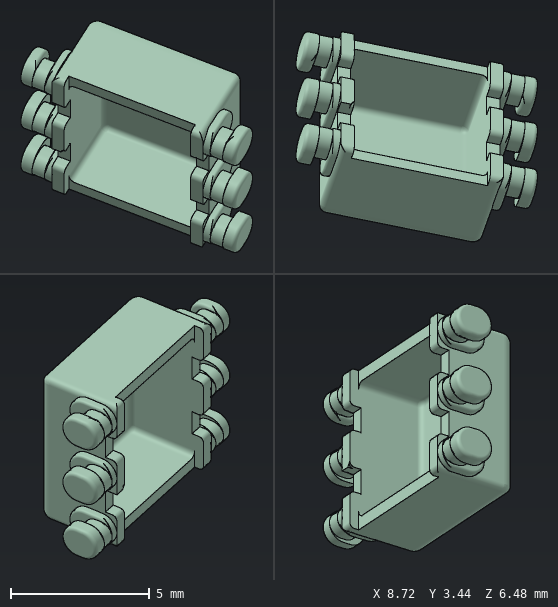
import cadquery as cq


body_width = 6.1
body_depth = 3.44
body_height = 6.48
wall = 0.5
back_thickness = 0.25
cavity_radius = 0.21
back_edge_radius = 0.5
corner_radius = 0.25
end_wall_setback = 0.39

post_pitch = 2.5
post_rows = (-post_pitch, 0, post_pitch)
tab_length = 1.5
notch_depth = 0.5
tab_radius = 0.2
square_corner_inset = 0.13

flange_thickness = 0.3
neck_length = 0.5
head_end = 4.36
post_height = 1.27
flange_depth = 1.9
head_depth = 1.54
neck_height = 1.0
neck_depth = 1.19
flange_fillet = 0.11
head_fillet = 0.145
flange_runout = (0.0, 0.45)
head_runout = (0.3, 0.58)

side = body_width / 2
cavity_half_width = side - wall
notch_length = post_pitch - tab_length
neck_start = side + flange_thickness
head_start = neck_start + neck_length
head_thickness = head_end - head_start
flush_margin = 0.1


def box(x_range, y_range, z_range):
    """Axis-aligned block spanning the three given ranges."""
    ranges = (x_range, y_range, z_range)
    sizes = [high - low for low, high in ranges]
    corner = tuple(low for low, high in ranges)
    return cq.Workplane("XY").box(*sizes, centered=False).translate(corner)


def make_shell():
    """Solid box, rounded at the back and along its Y edges."""
    half_height = body_height / 2
    shell = box((-side, side), (0, body_depth), (-half_height, half_height))
    shell = shell.faces(">Y").edges().fillet(back_edge_radius)
    return shell.edges("(|Y) and (<X or >X)").fillet(corner_radius)


def cut_end_walls(shell):
    """Set the top and bottom walls back between the two side walls."""
    return shell.cut(
        box(
            (-cavity_half_width, cavity_half_width),
            (0, end_wall_setback),
            (-body_height / 2, body_height / 2),
        )
    )


def cut_cavity(shell):
    """Open the front with a pocket that has rounded inner edges."""
    half_height = body_height / 2 - wall
    cavity = box(
        (-cavity_half_width, cavity_half_width),
        (end_wall_setback, body_depth - back_thickness),
        (-half_height, half_height),
    )
    cavity = cavity.edges("|Y").fillet(corner_radius)
    cavity = cavity.faces(">Y").edges().fillet(cavity_radius)
    return shell.cut(cavity)


def shape_tabs(shell):
    """Notch both side walls along the front, leaving rounded tabs."""
    half_height = body_height / 2
    envelope = box((-side, side), (0, body_depth), (-half_height, half_height))
    for notch_z in (-post_pitch / 2, post_pitch / 2):
        notch = box(
            (-side, side),
            (0, notch_depth),
            (notch_z - notch_length / 2, notch_z + notch_length / 2),
        )
        envelope = envelope.cut(notch)
    return shell.intersect(envelope.edges("|X and <Y").fillet(tab_radius))


def square_middle_tab(shell):
    """Make the lower corner of the middle -X tab square, save at its inner end."""
    tab_bottom = -tab_length / 2
    tab_inner_x = -cavity_half_width
    corner = (
        cq.Workplane("XZ")
        .moveTo(-side, tab_bottom)
        .lineTo(tab_inner_x - square_corner_inset, tab_bottom)
        .lineTo(tab_inner_x, tab_bottom + tab_radius)
        .lineTo(-side, tab_bottom + tab_radius)
        .close()
        .extrude(-tab_radius)
    )
    return shell.union(corner)


def oblong(start_x, length, depth, height):
    """Upright-ended oblong prism along +X, touching the plane Y = 0."""
    return (
        cq.Workplane("YZ", origin=(start_x, depth / 2, 0))
        .slot2D(depth, height)
        .extrude(length)
    )


def fade_fillet(sharp, filleted, full_x, edge_x, runout):
    """Restore the sharp edge near the front, along a slanted plane."""
    start_y, full_y = runout
    outline = [
        (full_x, -flush_margin),
        (full_x, full_y),
        (edge_x, start_y),
        (edge_x, -flush_margin),
    ]
    front_wedge = (
        cq.Workplane("XY", origin=(0, 0, -post_height))
        .polyline(outline)
        .close()
        .extrude(2 * post_height)
    )
    return filleted.union(sharp.intersect(front_wedge))


def make_flange():
    """Flange on the +X wall whose outer fillet fades out at the front."""
    sharp = oblong(side, flange_thickness, flange_depth, post_height)
    filleted = sharp.faces(">X").edges().fillet(flange_fillet)
    return fade_fillet(sharp, filleted, neck_start - flange_fillet, neck_start, flange_runout)


def make_head(inner_fillet):
    """Head on the +X side, optionally rounded on its inner edge too."""
    head = oblong(head_start, head_thickness, head_depth, post_height)
    head = head.faces(">X").edges().fillet(head_fillet)
    if not inner_fillet:
        return head
    filleted = head.faces("<X").edges().fillet(head_fillet)
    return fade_fillet(head, filleted, head_start + head_fillet, head_start, head_runout)


def make_post(inner_fillet):
    """Flange, neck and head of one +X post, centred on Z = 0."""
    neck = oblong(neck_start, neck_length, neck_depth, neck_height)
    return make_flange().union(neck).union(make_head(inner_fillet))


def make_root():
    """Inward run of the flange that meets the body's rounded corner edge."""
    return oblong(side - corner_radius, corner_radius, flange_depth, post_height)


result = make_shell()
result = shape_tabs(result)
result = cut_end_walls(result)
result = cut_cavity(result)
result = square_middle_tab(result)
for row_z in post_rows:
    post = make_post(inner_fillet=row_z == max(post_rows)).translate((0, 0, row_z))
    root = make_root().translate((0, 0, row_z))
    result = result.union(root).union(post).union(post.mirror("YZ"))